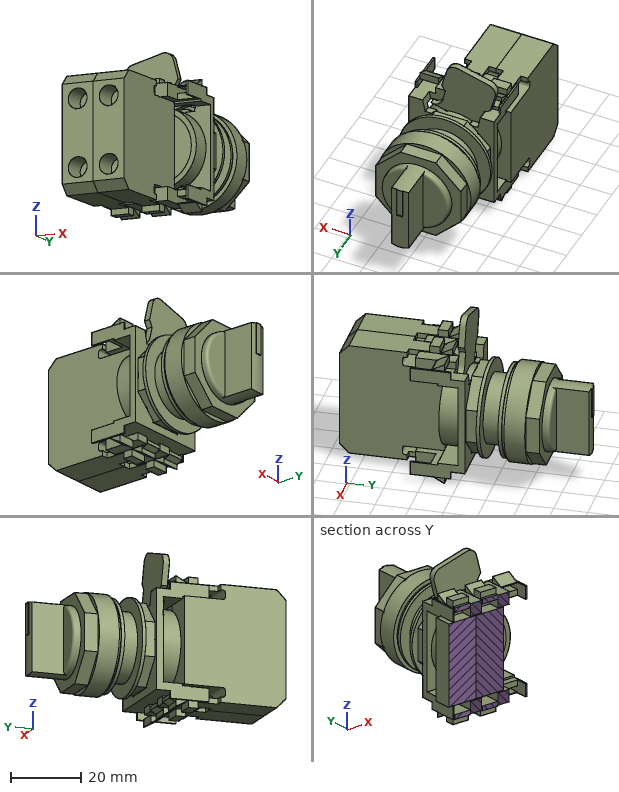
import cadquery as cq
import math


BLOCK_FRONT_Y = 31.0
PRONG_ROOT_Y = 34.8
LEVER_FRONT_Y = 36.7
GROOVE_FRONT_Y = 36.8
PLATE_BACK_Y = 37.0
PLATE_FRONT_Y = 39.0
WASHER_BACK_Y = 42.6
WASHER_FRONT_Y = 43.65
GASKET_BACK_Y = 48.9
GASKET_STEP_Y = 49.9
BEZEL_RING_BACK_Y = 50.85
BEZEL_RING_FRONT_Y = 56.95
BEZEL_FRONT_Y = 61.0
KNOB_DISC_FRONT_Y = 63.3
KNOB_EDGE_Y = 72.9
KNOB_CROWN_Y = 73.2
KNOB_TIP_Y = 73.5

BARREL_RADIUS = 10.45
BEZEL_FLATS = 27.0
BEZEL_RING_RADIUS = 14.8
GASKET_FLANGE_RADIUS = 13.9
WASHER_RADIUS = 14.55
NUT_FLATS = 24.8
COLLAR_RADIUS = 12.05
COLLAR_FLAT_DEPTH = 10.65

KNOB_RADIUS = 10.65
KNOB_DISC_FILLET = 0.95
HANDLE_WIDTH = 5.4
POINTER_WIDTH = 1.9
POINTER_BOTTOM_Z = 1.2

BLOCK_WIDTH = 10.0
BLOCK_HALF_HEIGHT = 17.4
BLOCK_CHAMFER = 2.9
BLOCK_CENTERS_X = (-BLOCK_WIDTH, 0)
WIRE_HOLE_DIAMETER = 6.0
WIRE_HOLE_DEPTH = 7.35
WIRE_HOLE_Z = 10.0
SLOT_FLOOR_Z = 13.0
SLOT_ROOF_Z = 15.8
SLOT_END_Y = 18.5
SLOT_CORNER_RADIUS = 0.9
TONGUE_WIDTH = 5.6
TONGUE_ROOT_Y = 19.9
TAB_BACK_Y = 26.0
TAB_FRONT_Y = 29.0
TAB_TOP_Z = 19.25
NOSE_BACK_Y = 33.0
NOSE_TOP_Z = 17.85

BRACKET_HALF_WIDTH = 13.5
PLATE_HALF_HEIGHT = 15.0
OPENING_HALF_HEIGHT = 12.6
PRONG_END_Y = 22.9
PRONG_BOTTOM_Z = 13.15
PRONG_TOP_Z = 17.2
POCKET_CENTERS_X = (-BLOCK_WIDTH, 0, BLOCK_WIDTH)
POCKET_WIDTH = 5.9
SHELF_TOP_Z = 15.0
SHELF_END_Y = 28.9
RAMP_BOTTOM_Z = 16.9
RAMP_BACK_Y = 29.1
RAMP_FRONT_Y = 32.85
KEYWAY_HALF_WIDTH = 5.6
LEVER_GATE_FLOOR_Z = 11.1
LEVER_GATE_BOTTOM_HALF = 8.3
LEVER_GATE_TOP_HALF = 9.1

LEVER_SWING = 15
LEVER_BASE = BARREL_RADIUS
LEVER_TOP = 27.8
HEAD_BOTTOM = 18.8
HEAD_LEFT = -6.5
HEAD_RIGHT = 9.4
HEAD_CORNER_RADIUS = 3.0
HEAD_UNDERCUT = 1.6
FOOT_RADIUS = 2.95


def disc(radius, y_back, y_front):
    """Cylinder about the switch axis."""
    return cq.Workplane("XZ", origin=(0, y_back, 0)).circle(radius).extrude(y_back - y_front)


def octagon(flats, y_back, y_front):
    """Octagonal prism about the switch axis with flats facing up and sideways."""
    half_side_angle = 180 / 8
    corner_diameter = flats / math.cos(math.radians(half_side_angle))
    prism = cq.Workplane("XZ", origin=(0, y_back, 0)).polygon(8, corner_diameter).extrude(y_back - y_front)
    return prism.rotate((0, 0, 0), (0, 1, 0), half_side_angle)


def box(x_range, y_range, z_range):
    """Axis-aligned box between pairs of limits."""
    sizes = [high - low for low, high in (x_range, y_range, z_range)]
    corner = (x_range[0], y_range[0], z_range[0])
    return cq.Workplane("XY").box(*sizes, centered=False).translate(corner)


def side_profile(points, center_x, width):
    """Outline of (Y, Z) points extruded evenly to both sides of center_x."""
    return cq.Workplane("YZ", origin=(center_x, 0, 0)).polyline(points).close().extrude(width / 2, both=True)


def with_mirror(shape):
    """The shape together with its mirror image below the axis."""
    return shape.union(shape.mirror("XY"))


def tilted(shape):
    """Swing an upright lever shape about the switch axis, top toward -X."""
    return shape.rotate((0, 0, 0), (0, 1, 0), -LEVER_SWING)


def make_operator():
    """Octagonal bezel and its ring on the barrel that passes through the panel."""
    head = octagon(BEZEL_FLATS, BEZEL_RING_FRONT_Y, BEZEL_FRONT_Y)
    ring = disc(BEZEL_RING_RADIUS, BEZEL_RING_BACK_Y, BEZEL_RING_FRONT_Y)
    barrel = disc(BARREL_RADIUS, BLOCK_FRONT_Y, BEZEL_RING_BACK_Y)
    return head.union(ring).union(barrel)


def make_knob():
    """Round base with a raised handle, crowned at its end, and a pointer on the upper half."""
    base = disc(KNOB_RADIUS, BEZEL_FRONT_Y, KNOB_DISC_FRONT_Y).faces(">Y").edges().fillet(KNOB_DISC_FILLET)
    half_width = HANDLE_WIDTH / 2
    handle = (
        cq.Workplane("XY")
        .moveTo(-half_width, BEZEL_FRONT_Y)
        .lineTo(half_width, BEZEL_FRONT_Y)
        .lineTo(half_width, KNOB_EDGE_Y)
        .threePointArc((0, KNOB_CROWN_Y), (-half_width, KNOB_EDGE_Y))
        .close()
        .extrude(KNOB_RADIUS, both=True)
    )
    pointer = box(
        (-POINTER_WIDTH / 2, POINTER_WIDTH / 2),
        (BEZEL_FRONT_Y, KNOB_TIP_Y),
        (POINTER_BOTTOM_Z, KNOB_RADIUS),
    )
    envelope = disc(KNOB_RADIUS, BEZEL_FRONT_Y, KNOB_TIP_Y)
    return base.union(handle.union(pointer).intersect(envelope))


def make_gasket():
    """Stepped ring behind the bezel, fitted around the barrel."""
    sleeve = disc(BEZEL_FLATS / 2, GASKET_STEP_Y, BEZEL_RING_BACK_Y)
    flange = disc(GASKET_FLANGE_RADIUS, GASKET_BACK_Y, GASKET_STEP_Y)
    bore = disc(BARREL_RADIUS, GASKET_BACK_Y, BEZEL_RING_BACK_Y)
    return sleeve.union(flange).cut(bore)


def make_lock_nut():
    """Flanged octagonal nut whose collar has a flat below and a seat for the lever above."""
    flange = disc(WASHER_RADIUS, WASHER_BACK_Y, WASHER_FRONT_Y)
    nut = octagon(NUT_FLATS, PLATE_FRONT_Y, WASHER_BACK_Y)
    collar = disc(COLLAR_RADIUS, BLOCK_FRONT_Y, PLATE_FRONT_Y)
    bore = disc(BARREL_RADIUS, BLOCK_FRONT_Y, WASHER_FRONT_Y)
    across = (-COLLAR_RADIUS, COLLAR_RADIUS)
    groove = (PRONG_ROOT_Y, GROOVE_FRONT_Y)
    lever_seat = tilted(box(across, groove, (LEVER_BASE, COLLAR_RADIUS)))
    lower_flat = box(across, groove, (-COLLAR_RADIUS, -COLLAR_FLAT_DEPTH))
    return flange.union(nut).union(collar).cut(bore).cut(lever_seat).cut(lower_flat)


def make_lever():
    """Flat lever with a rounded head, undercut neck and one flared foot."""
    neck_left = HEAD_LEFT + HEAD_UNDERCUT
    neck_right = HEAD_RIGHT - HEAD_UNDERCUT
    neck_top = HEAD_BOTTOM - HEAD_UNDERCUT
    arc_offset = FOOT_RADIUS * (1 - math.sqrt(0.5))
    plate = (
        cq.Workplane("XZ", origin=(0, PRONG_ROOT_Y, 0))
        .moveTo(neck_left, LEVER_BASE)
        .lineTo(neck_right + FOOT_RADIUS, LEVER_BASE)
        .threePointArc(
            (neck_right + arc_offset, LEVER_BASE + arc_offset),
            (neck_right, LEVER_BASE + FOOT_RADIUS),
        )
        .lineTo(neck_right, neck_top)
        .lineTo(HEAD_RIGHT, HEAD_BOTTOM)
        .lineTo(HEAD_RIGHT, LEVER_TOP)
        .lineTo(HEAD_LEFT, LEVER_TOP)
        .lineTo(HEAD_LEFT, HEAD_BOTTOM)
        .lineTo(neck_left, neck_top)
        .close()
        .extrude(PRONG_ROOT_Y - LEVER_FRONT_Y)
    )
    head_corners = plate.faces(">Z").edges("|Y")
    return tilted(head_corners.fillet(HEAD_CORNER_RADIUS))


def make_bracket():
    """C-shaped bracket with prongs, ramps over its latch pockets and a gate for the lever."""
    across = (-BRACKET_HALF_WIDTH, BRACKET_HALF_WIDTH)
    plate = box(across, (PLATE_BACK_Y, PLATE_FRONT_Y), (-PLATE_HALF_HEIGHT, PLATE_HALF_HEIGHT))
    arm = side_profile(
        [
            (PLATE_FRONT_Y, OPENING_HALF_HEIGHT),
            (PLATE_FRONT_Y, PLATE_HALF_HEIGHT),
            (PRONG_ROOT_Y, PLATE_HALF_HEIGHT),
            (PRONG_ROOT_Y, PRONG_TOP_Z),
            (PRONG_END_Y, PRONG_TOP_Z),
            (PRONG_END_Y, PRONG_BOTTOM_Z),
            (BLOCK_FRONT_Y, PRONG_BOTTOM_Z),
            (BLOCK_FRONT_Y, OPENING_HALF_HEIGHT),
        ],
        0,
        2 * BRACKET_HALF_WIDTH,
    )
    for center_x in POCKET_CENTERS_X:
        pocket_x = (center_x - POCKET_WIDTH / 2, center_x + POCKET_WIDTH / 2)
        arm = arm.cut(box(pocket_x, (PRONG_END_Y, PRONG_ROOT_Y), (SHELF_TOP_Z, PRONG_TOP_Z)))
        arm = arm.cut(box(pocket_x, (PRONG_END_Y, SHELF_END_Y), (PRONG_BOTTOM_Z, PRONG_TOP_Z)))
        ramp_outline = [
            (RAMP_BACK_Y, RAMP_BOTTOM_Z),
            (RAMP_FRONT_Y, RAMP_BOTTOM_Z),
            (RAMP_FRONT_Y, TAB_TOP_Z),
            (RAMP_BACK_Y, PRONG_TOP_Z),
        ]
        arm = arm.union(side_profile(ramp_outline, center_x, POCKET_WIDTH))
    keyway = box(
        (-KEYWAY_HALF_WIDTH, KEYWAY_HALF_WIDTH),
        (PLATE_BACK_Y, PLATE_FRONT_Y),
        (-OPENING_HALF_HEIGHT, OPENING_HALF_HEIGHT),
    )
    lever_gate = (
        cq.Workplane("XZ", origin=(0, PRONG_ROOT_Y, 0))
        .polyline(
            [
                (-LEVER_GATE_BOTTOM_HALF, LEVER_GATE_FLOOR_Z),
                (LEVER_GATE_BOTTOM_HALF, LEVER_GATE_FLOOR_Z),
                (LEVER_GATE_TOP_HALF, PLATE_HALF_HEIGHT),
                (-LEVER_GATE_TOP_HALF, PLATE_HALF_HEIGHT),
            ]
        )
        .close()
        .extrude(PRONG_ROOT_Y - PLATE_FRONT_Y)
    )
    bore = disc(COLLAR_RADIUS, PLATE_BACK_Y, PLATE_FRONT_Y)
    return plate.union(with_mirror(arm)).cut(bore).cut(keyway).cut(lever_gate)


def latch_tongue(center_x):
    """Springy tongue with a finger tab and a hooked nose that catches a bracket ramp."""
    return side_profile(
        [
            (TONGUE_ROOT_Y, SLOT_ROOF_Z),
            (PRONG_ROOT_Y, SLOT_ROOF_Z),
            (PRONG_ROOT_Y, RAMP_BOTTOM_Z),
            (NOSE_BACK_Y, NOSE_TOP_Z),
            (NOSE_BACK_Y, RAMP_BOTTOM_Z),
            (TAB_FRONT_Y, RAMP_BOTTOM_Z),
            (TAB_FRONT_Y, TAB_TOP_Z),
            (TAB_BACK_Y, TAB_TOP_Z),
            (TAB_BACK_Y, BLOCK_HALF_HEIGHT),
            (TONGUE_ROOT_Y, BLOCK_HALF_HEIGHT),
        ],
        center_x,
        TONGUE_WIDTH,
    )


def tongue_clearance(center_x):
    """Material removed around and under a tongue."""
    sides = side_profile(
        [
            (TONGUE_ROOT_Y, SLOT_FLOOR_Z),
            (BLOCK_FRONT_Y, SLOT_FLOOR_Z),
            (BLOCK_FRONT_Y, BLOCK_HALF_HEIGHT),
            (TONGUE_ROOT_Y, BLOCK_HALF_HEIGHT),
        ],
        center_x,
        BLOCK_WIDTH,
    )
    slot = box(
        (center_x - BLOCK_WIDTH / 2, center_x + BLOCK_WIDTH / 2),
        (SLOT_END_Y, BLOCK_FRONT_Y),
        (SLOT_FLOOR_Z, SLOT_ROOF_Z),
    )
    return sides.union(slot.edges("|X and <Y").fillet(SLOT_CORNER_RADIUS))


def make_contact_block(center_x):
    """Contact block with two wire holes and a latch tongue above and below."""
    block = box(
        (center_x - BLOCK_WIDTH / 2, center_x + BLOCK_WIDTH / 2),
        (0, BLOCK_FRONT_Y),
        (-BLOCK_HALF_HEIGHT, BLOCK_HALF_HEIGHT),
    )
    block = block.faces("<Y").edges("|X").chamfer(BLOCK_CHAMFER)
    block = block.cut(with_mirror(tongue_clearance(center_x)))
    block = block.union(latch_tongue(center_x)).union(latch_tongue(center_x).mirror("XY"))
    wire_holes = (
        cq.Workplane("XZ")
        .pushPoints([(center_x, -WIRE_HOLE_Z), (center_x, WIRE_HOLE_Z)])
        .circle(WIRE_HOLE_DIAMETER / 2)
        .extrude(-WIRE_HOLE_DEPTH)
    )
    return block.cut(wire_holes)


operator = make_operator()
knob = make_knob()
gasket = make_gasket()
lock_nut = make_lock_nut()
lever = make_lever()
bracket = make_bracket()
contact_blocks = [make_contact_block(center_x) for center_x in BLOCK_CENTERS_X]

bodies = [operator, knob, gasket, lock_nut, lever, bracket, *contact_blocks]
result = cq.Compound.makeCompound([body.solids().val() for body in bodies])